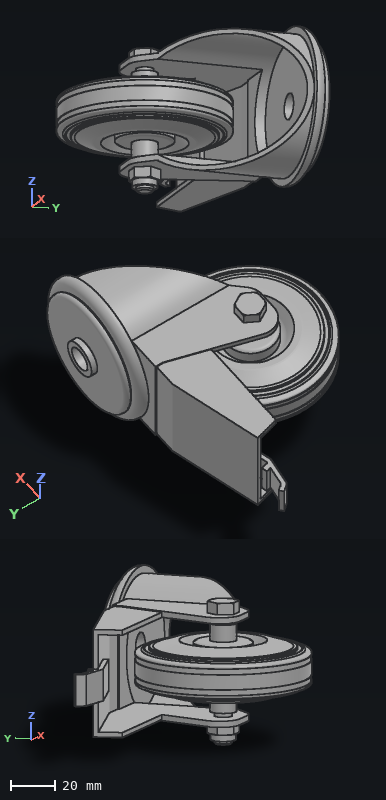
import cadquery as cq
import math


shank_d = 8.0
sleeve_d = 12.0
sleeve_half_length = 20.2
hex_corners_d = 14.7
hex_chamfer = 0.3
head_height = 5.3
nut_height = 5.0
collar_d = 11.6
collar_height = 3.0
shank_protrusion = 2.0
shank_chamfer = 0.8

tread_r = 80.0 / 2
tread_groove_r = 79.3 / 2
tread_band_half = 3.5
tread_groove_half = 6.1
shoulder_start = 6.5
shoulder_end_r = 39.0
shoulder_end_half = 7.7
bead_outer_r = 37.1
bead_outer_half = 8.1
bead_inner_r = 36.2
bead_foot_r = 35.5
bead_half = 8.9
ring_floor_half = 8.6
disc_r = 33.6
disc_edge_half = 9.7
disc_edge_bevel = 0.3
disc_cone_r = 31.8
disc_half = 24.9 / 2
disc_bevel_r = 24.1
disc_flat_r = 23.3
disc_bevel = 0.2
pit_r = 19.9
pit_floor_r = 16.5
pit_wall_end_half = 7.4
pit_floor_half = 5.3
boss_r = 13.6
boss_round_width = 2.2
boss_round_depth = 1.1

swivel_x = 38.8
flange_d = 73.0
flange_bottom = 55.0
flange_top = 60.3
flange_round = 4.4
neck_d = 61
dome_d = 62.0
dome_bottom = 60.7
dome_top = 63.7
dome_round = 2.2
stem_d = 18.3
stem_top = 67.0
stem_hole_d = 12.0

cavity_r = 61 / 2
skirt_r = 32.9
leg_inner = 44.6 / 2
leg_thickness = 2.8
fork_web_thickness = 3.5
leg_outer = leg_inner + leg_thickness
fork_top = 53.4
leg_back_x = -0.6
leg_back_y = 49.0
toe_r = 9.9
toe_half_spacing = 4.7

sheet = 2.3
channel_top_thickness = 2.0
channel_top = 52.7
channel_bottom = 26.9
channel_bend_x = -12.8
channel_slope = math.radians(15.3)
channel_tip_x = -60.4
channel_tip_y = channel_top - (channel_bend_x - channel_tip_x) * math.tan(channel_slope)

lever_width = 14.5
lever_sheet = 2.5
lever_tip = (-81.2, 40.0)
lever_first_bend = (-78.1, 36.3)
lever_bend_x = -62.8
lever_end_x = -38.2
tab_thickness = 3.0
tab_height = 4.0


def on_circle(centre, radius, angle):
    return (centre[0] + radius * math.cos(angle), centre[1] + radius * math.sin(angle))


def tangent_point(point, centre, radius, side):
    """Point where the line from `point` touches a circle; side +1 or -1 picks one of the two."""
    dx = point[0] - centre[0]
    dy = point[1] - centre[1]
    angle = math.atan2(dy, dx) + side * math.acos(radius / math.hypot(dx, dy))
    return on_circle(centre, radius, angle)


def plate(points, thickness):
    """Polygon in the XY plane, thickened equally to both sides of Z = 0."""
    return cq.Workplane("XY").polyline(points).close().extrude(thickness / 2, both=True)


def plan(height):
    """Plane square to the swivel axis, at a height along Y, facing +Y."""
    return cq.Workplane(cq.Plane(origin=(0, height, 0), xDir=(1, 0, 0), normal=(0, 1, 0)))


def rod(diameter, start, end):
    """Cylinder on the Z axis between two heights."""
    return cq.Workplane("XY").workplane(offset=start).circle(diameter / 2).extrude(end - start)


def swivel_disc(diameter, bottom, top):
    return plan(bottom).center(swivel_x, 0).circle(diameter / 2).extrude(top - bottom)



def wheel_half_section():
    """Half of the wheel section on the +Z side, without the raised band on the tread."""
    round_start_r = boss_r - boss_round_width
    round_arc_r = (boss_round_width**2 + boss_round_depth**2) / (2 * boss_round_depth)
    round_tilt = math.atan2(boss_round_depth, boss_round_width)
    round_mid_r = round_start_r + round_arc_r * math.sin(round_tilt)
    round_mid_half = disc_half - round_arc_r * (1 - math.cos(round_tilt))
    return (
        cq.Workplane("XZ")
        .moveTo(sleeve_d / 2, 0)
        .lineTo(tread_groove_r, 0)
        .lineTo(tread_groove_r, tread_groove_half)
        .lineTo(tread_r, tread_groove_half)
        .lineTo(tread_r, shoulder_start)
        .tangentArcPoint((shoulder_end_r, shoulder_end_half), relative=False)
        .lineTo(bead_outer_r, bead_outer_half)
        .lineTo(bead_inner_r, bead_half)
        .lineTo(bead_foot_r, ring_floor_half)
        .lineTo(disc_r, ring_floor_half)
        .lineTo(disc_r, disc_edge_half - disc_edge_bevel)
        .lineTo(disc_r - disc_edge_bevel, disc_edge_half)
        .lineTo(disc_cone_r, disc_edge_half)
        .lineTo(disc_bevel_r, disc_half - disc_bevel)
        .lineTo(disc_flat_r, disc_half)
        .lineTo(pit_r, disc_half)
        .lineTo(pit_floor_r, pit_wall_end_half)
        .tangentArcPoint((boss_r, pit_floor_half), relative=False)
        .lineTo(boss_r, disc_half - boss_round_depth)
        .threePointArc((round_mid_r, round_mid_half), (round_start_r, disc_half))
        .lineTo(sleeve_d / 2, disc_half)
        .close()
    )


def make_wheel():
    half = wheel_half_section().revolve(360, (0, 0, 0), (0, 1, 0))
    band_core = rod(2 * disc_r, -tread_band_half, tread_band_half)
    tread_band = rod(2 * tread_r, -tread_band_half, tread_band_half).cut(band_core)
    return half.union(half.mirror("XY")).union(tread_band)



def hexagon(start, height):
    """Hexagonal prism with the corners of its outer end chamfered; a negative height points to -Z."""
    end = start + height
    prism = cq.Workplane("XY").workplane(offset=start).polygon(6, hex_corners_d).extrude(height)
    outer_face = ">Z" if height > 0 else "<Z"
    rounding = rod(hex_corners_d, start, end).faces(outer_face).chamfer(hex_chamfer, 2 * hex_chamfer)
    return prism.intersect(rounding)


def make_axle():
    nut_end = -leg_outer - nut_height
    collar_end = nut_end - collar_height
    shank_end = collar_end - shank_protrusion
    shank = rod(shank_d, shank_end, leg_outer).faces("<Z").chamfer(shank_chamfer)
    sleeve = rod(sleeve_d, -sleeve_half_length, sleeve_half_length)
    collar = rod(collar_d, collar_end, nut_end)
    head = hexagon(leg_outer, head_height)
    nut = hexagon(-leg_outer, -nut_height)
    return shank.union(sleeve).union(collar).union(head).union(nut)



def swivel_head():
    flange = swivel_disc(flange_d, flange_bottom, flange_top).faces(">Y").edges().fillet(flange_round)
    dome = swivel_disc(dome_d, dome_bottom, dome_top).faces(">Y").edges().fillet(dome_round)
    neck = swivel_disc(neck_d, flange_top, dome_bottom)
    stem = swivel_disc(stem_d, dome_top, stem_top)
    return flange.union(neck).union(dome).union(stem)


def fork_side(thickness):
    """Side outline of the fork: straight back, rounded toe and a slanted front edge."""
    back_toe = (-toe_half_spacing, 0)
    front_toe = (toe_half_spacing, 0)
    back_corner = (leg_back_x, leg_back_y)
    front_corner = (swivel_x + skirt_r, flange_bottom)
    back_touch = tangent_point(back_corner, back_toe, toe_r, 1)
    front_touch = tangent_point(front_corner, front_toe, toe_r, -1)
    return (
        cq.Workplane("XY")
        .moveTo(leg_back_x, fork_top)
        .lineTo(*back_corner)
        .lineTo(*back_touch)
        .tangentArcPoint((-toe_half_spacing, -toe_r), relative=False)
        .lineTo(toe_half_spacing, -toe_r)
        .tangentArcPoint(front_touch, relative=False)
        .lineTo(*front_corner)
        .lineTo(leg_back_x, flange_bottom)
        .close()
        .extrude(thickness / 2, both=True)
    )


def fork():
    """Round skirt under the flange that runs into two flat legs, joined by a top web."""
    back_reach = toe_half_spacing + toe_r
    leg_length = swivel_x + back_reach
    leg_mid_x = (swivel_x - back_reach) / 2
    height = flange_bottom + toe_r
    skirt = plan(-toe_r).center(swivel_x, 0).circle(skirt_r).extrude(height)
    legs = plan(-toe_r).center(leg_mid_x, 0).rect(leg_length, 2 * leg_outer).extrude(fork_top + toe_r)
    gap = (
        plan(-toe_r).center(leg_mid_x, 0).rect(leg_length, 2 * leg_inner)
        .extrude(fork_top - fork_web_thickness + toe_r)
    )
    return skirt.union(legs).cut(gap).intersect(fork_side(2 * skirt_r))


def brake_channel():
    """Downward channel with a flat top that slopes down to a tip cut square to the slope."""
    tip_drop = channel_tip_y - channel_bottom
    lower_tip_x = channel_tip_x + tip_drop * math.tan(channel_slope)
    outside = [
        (0, channel_top),
        (channel_bend_x, channel_top),
        (channel_tip_x, channel_tip_y),
        (lower_tip_x, channel_bottom),
        (0, channel_bottom),
    ]
    slope_drop = sheet / math.cos(channel_slope)
    bend_shift = (slope_drop - channel_top_thickness) / math.tan(channel_slope)
    overrun = 2 * sheet
    overrun_drop = overrun * math.tan(channel_slope)
    inside = [
        (0, channel_top - channel_top_thickness),
        (channel_bend_x + bend_shift, channel_top - channel_top_thickness),
        (channel_tip_x - overrun, channel_tip_y - slope_drop - overrun_drop),
        (channel_tip_x - overrun, channel_bottom - sheet),
        (0, channel_bottom - sheet),
    ]
    sides = plate(outside, 2 * (leg_inner + sheet))
    return sides.cut(plate(inside, 2 * leg_inner))


def bent_strip(path, thickness):
    """Closed outline of a strip lying to the left of an open path, with mitred bends."""
    angles = [math.atan2(b[1] - a[1], b[0] - a[0]) for a, b in zip(path, path[1:])]
    before = [angles[0], *angles]
    after = [*angles, angles[-1]]
    offset_path = []
    for point, first, second in zip(path, before, after):
        normal = (first + second) / 2 + math.pi / 2
        reach = thickness / math.cos((second - first) / 2)
        offset_path.append(on_circle(point, reach, normal))
    return path + offset_path[::-1]


def brake_lever():
    """Bent strip under the sloping web, with a short tab at its second bend."""
    underside_drop = (sheet + lever_sheet) / math.cos(channel_slope)

    def on_underside(x):
        return (x, channel_tip_y + (x - channel_tip_x) * math.tan(channel_slope) - underside_drop)

    second_bend = on_underside(lever_bend_x)
    path = [lever_tip, lever_first_bend, second_bend, on_underside(lever_end_x)]
    strip = plate(bent_strip(path, lever_sheet), lever_width)
    up = channel_slope + math.pi / 2
    left = channel_slope + math.pi
    tab_foot = second_bend
    tab_top = on_circle(tab_foot, lever_sheet + tab_height, up)
    tab_far_top = on_circle(tab_top, tab_thickness, left)
    tab_far_foot = on_circle(tab_foot, tab_thickness, left)
    tab = plate([tab_foot, tab_top, tab_far_top, on_circle(tab_far_foot, lever_sheet, up)], lever_width)
    return strip.union(tab)


def make_bracket():
    cavity = plan(-toe_r).center(swivel_x, 0).circle(cavity_r).extrude(flange_bottom + toe_r)
    stem_hole = swivel_disc(stem_hole_d, flange_bottom, stem_top)
    axle_hole = rod(shank_d, -leg_outer, leg_outer)
    return (
        fork().union(brake_channel()).cut(cavity)
        .union(swivel_head()).union(brake_lever())
        .cut(stem_hole).cut(axle_hole)
    )


wheel = make_wheel()
axle = make_axle()
wheel_bracket = make_bracket()
result = cq.Compound.makeCompound([wheel.val(), axle.val(), wheel_bracket.val()])